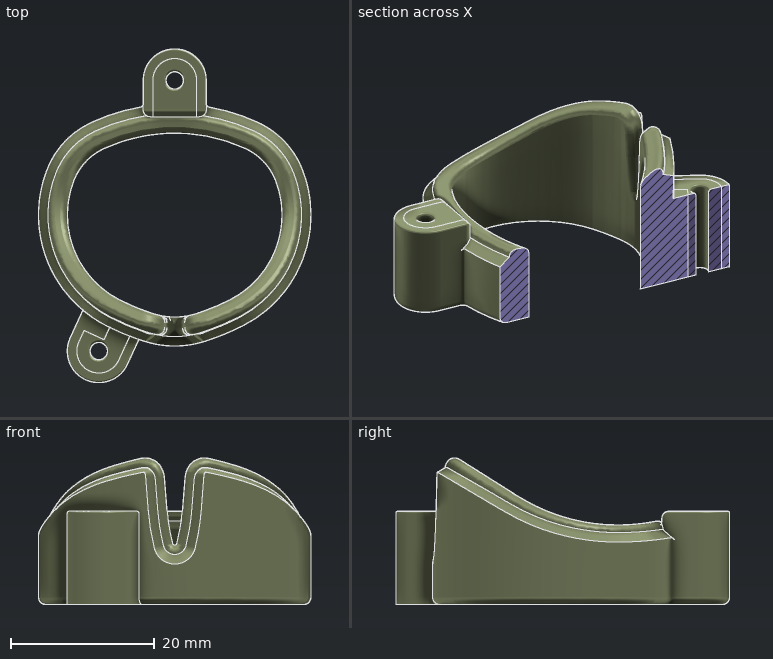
import cadquery as cq
import math

reach = 40.0
stock_height = 30.0

wall = 4.05
skirt_thickness = 1.33
skirt_depth = 3.4
rim_round = 1.0
skirt_chamfer = 1.4
bottom_round = 1.05

front_y = -18.75
outline_arcs = [(13.65, 17.5), (35.6, 9.4), (17.27, 84.7), (12.1, 43.5)]

low_y = 7.0
back_angle = 20.0
rim_low_z = 11.1
rim_front_radius = 26.0
rim_back_radius = 28.0
rim_rise_angle = 32.2
skirt_low_z = 10.1
skirt_front_radius = 30.0
skirt_back_radius = 45.0
skirt_rise_angle = 29.7

notch_tip_z = 8.3
notch_tip_radius = 0.3
notch_tip_angle = 76.0
notch_side_radius = 30.0
notch_side_angle = 85.5
notch_margin = 1.25
rim_notch_corner = 3.0
skirt_notch_corner = 1.9
notch_corner_floor = 18.0

lug_height = 13.0
lug_radius = 4.4
lug_top_round = 0.3
core_radius = 3.05
screw_diameter = 2.38
screw_mouth_round = 0.4
back_lug_center = (0.0, 18.2)
back_lug_length = 5.05
back_lug_end_round = 1.0
back_lug_root_round = 0.4
front_lug_center = (-10.56, -19.44)
front_lug_length = 6.5
front_lug_turn = 155.3
front_core_step = 1.75


def mirrored(point):
    return (-point[0], point[1])


def arc_points(start, heading, radius, sweep):
    """Middle and end of an arc that turns left by sweep degrees from a heading."""
    def point_after(angle):
        first = math.radians(heading)
        last = math.radians(heading + angle)
        return (start[0] + radius * (math.sin(last) - math.sin(first)),
                start[1] + radius * (math.cos(first) - math.cos(last)))
    return point_after(sweep / 2), point_after(sweep)


def ring_pillar(inset):
    """Solid pillar inside the ring's outer outline moved inward by inset."""
    front = (0, front_y + inset)
    heading = 0
    joints = [front]
    middles = []
    for radius, sweep in outline_arcs:
        middle, end = arc_points(joints[-1], heading, radius - inset, sweep)
        middles.append(middle)
        joints.append(end)
        heading += sweep
    back_radius = joints[-1][0] / math.sin(math.radians(heading))
    back, back_end = arc_points(joints[-1], heading, back_radius, 2 * (180 - heading))

    outline = cq.Workplane("XY").moveTo(*mirrored(joints[1])).threePointArc(front, joints[1])
    for middle, end in zip(middles[1:], joints[2:]):
        outline = outline.threePointArc(middle, end)
    outline = outline.threePointArc(back, back_end)
    for middle, end in zip(reversed(middles[1:]), reversed(joints[1:-1])):
        outline = outline.threePointArc(mirrored(middle), mirrored(end))
    return outline.close().extrude(stock_height)


def space_above(low_z, front_radius, back_radius, rise_angle):
    """Everything above a top curve that dips at low_y and rises to the front."""
    front_middle, front_end = arc_points((-low_y, low_z), 0, front_radius, rise_angle)
    back_middle, back_end = arc_points((low_y, low_z), 0, back_radius, back_angle)
    ceiling = front_end[1] + (reach - front_end[0]) * math.tan(math.radians(rise_angle))
    profile = (cq.Workplane("YZ").moveTo(-reach, ceiling)
               .lineTo(*mirrored(front_end))
               .threePointArc(mirrored(front_middle), (low_y, low_z))
               .threePointArc(back_middle, back_end)
               .lineTo(back_end[0], ceiling).close())
    return profile.extrude(reach, both=True)


def notch(margin):
    """Tapered front notch, grown outward by margin."""
    tip = (0, notch_tip_z - margin)
    _, tip_end = arc_points(tip, 0, notch_tip_radius + margin, notch_tip_angle)
    side_middle, side_end = arc_points(tip_end, notch_tip_angle, notch_side_radius + margin,
                                       notch_side_angle - notch_tip_angle)
    top_x = side_end[0] + (reach - side_end[1]) / math.tan(math.radians(notch_side_angle))
    outline = (cq.Workplane("XZ").moveTo(top_x, reach)
               .lineTo(*side_end)
               .threePointArc(side_middle, tip_end)
               .threePointArc(tip, mirrored(tip_end))
               .threePointArc(mirrored(side_middle), mirrored(side_end))
               .lineTo(-top_x, reach).close())
    return outline.extrude(reach)


def wall_layer(outer_inset, inner_inset, top_space, margin, corner):
    """Layer of the ring wall between two insets, with its top and notch cut and the notch's upper corners rounded."""
    layer = ring_pillar(outer_inset).cut(ring_pillar(inner_inset)).cut(top_space).cut(notch(margin))
    corner_x = notch_tip_radius + margin + 2
    zone = cq.selectors.BoxSelector((-corner_x, -reach, notch_corner_floor), (corner_x, 0, reach))
    corners = [edge for edge in layer.edges(zone).vals() if abs(edge.tangentAt(0.5).y) > 0.7]
    return cq.Workplane(layer.val().fillet(corner, corners))


def top_edges(layer):
    """Edges along the shaped top: each borders just one of the upright faces that stand on the ground."""
    upright = [face for face in layer.faces("not |Z").vals() if face.BoundingBox().zmin < 0.01]
    edges = [edge for face in upright for edge in face.Edges()]
    codes = [edge.hashCode() for edge in edges]
    return [edge for edge in edges if codes.count(edge.hashCode()) == 1 and edge.Center().z > 1]


def make_rim():
    top_space = space_above(rim_low_z, rim_front_radius, rim_back_radius, rim_rise_angle)
    layer = wall_layer(skirt_thickness, wall, top_space, 0, rim_notch_corner)
    return cq.Workplane(layer.val().fillet(rim_round, top_edges(layer)))


def make_skirt():
    top_space = space_above(skirt_low_z, skirt_front_radius, skirt_back_radius, skirt_rise_angle)
    layer = wall_layer(0, skirt_depth, top_space, notch_margin, skirt_notch_corner)
    return cq.Workplane(layer.val().chamfer(skirt_chamfer, None, top_edges(layer)))


def lug_block(radius, length):
    """Upright block around a screw hole at the origin: round toward +Y, flat end at -length."""
    outline = (cq.Workplane("XY").moveTo(radius, -length).lineTo(radius, 0)
               .threePointArc((0, radius), (-radius, 0)).lineTo(-radius, -length).close())
    return outline.extrude(lug_height)


def screw_hole():
    """Screw hole with a rounded mouth."""
    drill = screw_diameter / 2
    bend = screw_mouth_round * (1 - math.sqrt(0.5))
    profile = (cq.Workplane("XZ").lineTo(drill, 0)
               .lineTo(drill, lug_height - screw_mouth_round)
               .threePointArc((drill + bend, lug_height - bend), (drill + screw_mouth_round, lug_height))
               .lineTo(0, lug_height).close())
    return profile.revolve(360, (0, 0), (0, 1))


def place_back(body):
    return body.translate((*back_lug_center, 0))


def place_front(body):
    return body.rotate((0, 0, 0), (0, 0, 1), front_lug_turn).translate((*front_lug_center, 0))


def make_back_lug():
    lug = lug_block(lug_radius, back_lug_length)
    lug = lug.edges("(|Z and <Y) or (>Z and <Y)").fillet(back_lug_end_round)
    lug = lug.faces(">Z").edges("not <Y").fillet(lug_top_round)
    return place_back(lug)


def make_front_lug():
    lug = lug_block(lug_radius, front_lug_length)
    lug = lug.faces(">Z").edges("not <Y").fillet(lug_top_round)
    return place_front(lug)


def back_core_space():
    return place_back(lug_block(core_radius, back_lug_length))


def front_core_space():
    """Core outline whose half away from the notch stops short of the ring."""
    missing_half = (cq.Workplane("XY")
                    .rect(core_radius, front_lug_length - front_core_step, centered=False)
                    .extrude(lug_height).translate((0, -front_lug_length, 0)))
    return place_front(lug_block(core_radius, front_lug_length).cut(missing_half))


def make_housing():
    """Ring with both lugs, hollowed for the cores."""
    base = make_skirt().union(make_back_lug())
    root_zone = cq.selectors.BoxSelector((-lug_radius - 0.1, back_lug_center[1] - back_lug_length, 0),
                                         (lug_radius + 0.1, back_lug_center[1] - 1, lug_height / 2))
    base = base.edges("|Z").edges(root_zone).fillet(back_lug_root_round)
    base = base.faces("<Z").wires(cq.selectors.LengthNthSelector(-1)).fillet(bottom_round)
    housing = base.union(make_rim()).union(make_front_lug())
    return housing.cut(back_core_space()).cut(front_core_space()).clean()


def make_back_core():
    return make_back_lug().intersect(back_core_space()).cut(place_back(screw_hole()))


def make_front_core():
    return front_core_space().cut(place_front(screw_hole()))


housing = make_housing()
back_core = make_back_core()
front_core = make_front_core()
result = cq.Compound.makeCompound([housing.val(), back_core.val(), front_core.val()])